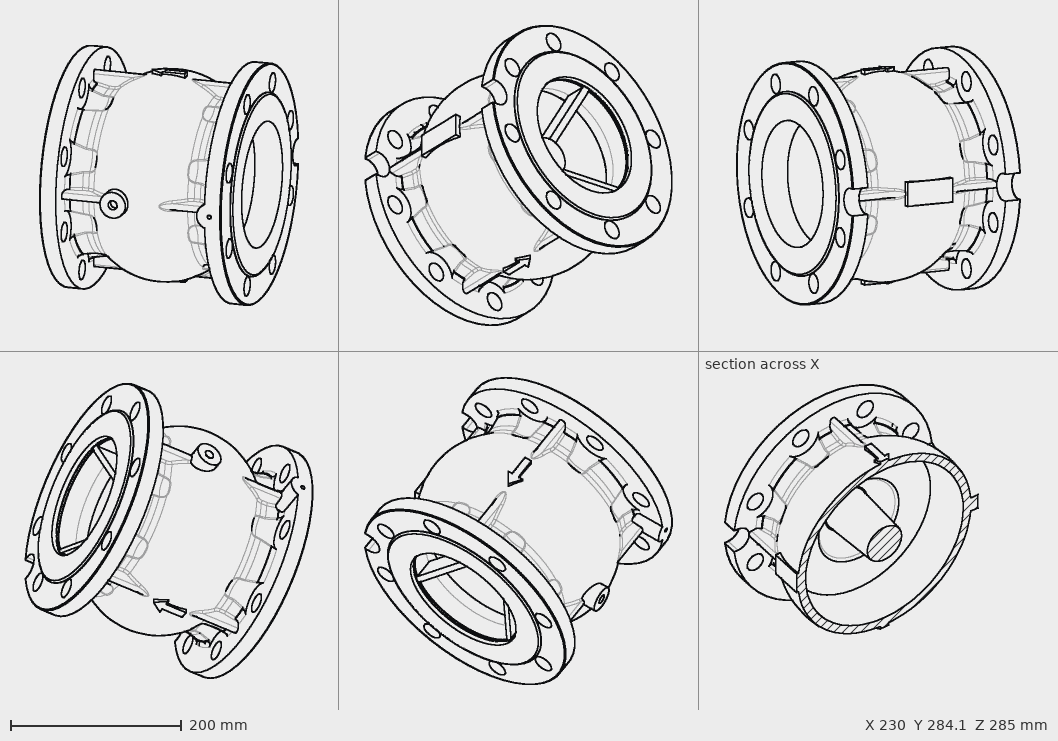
import cadquery as cq
import math

LENGTH = 230.0
HALF_LENGTH = LENGTH / 2
FLANGE_RADIUS = 142.5
FLANGE_THICKNESS = 20.2
FLANGE_EDGE = 1.0
RAISED_FACE_RADIUS = 108.5
RAISED_FACE_HEIGHT = 2.8
RAISED_FACE_CHAMFER = 2.3
FLANGE_OUTER = HALF_LENGTH - RAISED_FACE_HEIGHT
FLANGE_INNER = FLANGE_OUTER - FLANGE_THICKNESS

BULB_RADIUS = 125.0
BULB_CURVE = 91.2
BULB_CURVE_CENTER = BULB_RADIUS - BULB_CURVE
BULB_END = 57.9
BULB_FILLET = 11.7
BULB_END_SLOPE = math.asin(BULB_END / BULB_CURVE)
BULB_END_RADIUS = BULB_CURVE_CENTER + BULB_CURVE * math.cos(BULB_END_SLOPE)
NECK_START = BULB_END + BULB_FILLET * math.sin(BULB_END_SLOPE)
NECK_RADIUS = BULB_END_RADIUS - BULB_FILLET * (1 - math.cos(BULB_END_SLOPE))
NECK_CONE_START = 72.7
NECK_CONE_RISE = 4.3
NECK_END_RADIUS = NECK_RADIUS + NECK_CONE_RISE
FLANGE_FILLET = 4.8

BOLT_COUNT = 8
BOLT_STEP = 360 / BOLT_COUNT
BOLT_CIRCLE = 120.5
BOLT_RADIUS = 11.5
SCALLOP_FLANGE_RADIUS = 25.5
SCALLOP_NECK_RADIUS = 23.7
SCALLOP_NOSE_RADIUS = 14.2
SCALLOP_NOSE_END = 57.0
SCALLOP_OVERRUN = 2.8
SCALLOP_EDGE_FILLET = 2.3

NOTCH_RADIUS = 16.0
NOTCH_BOTTOM = 120.3

RIB_COUNT = 4
RIB_TOP = 120.5
RIB_CREST_RADIUS = 4.0
RIB_DRAFT = math.radians(5)
RIB_FOOT = 85.5
RIB_INNER_END = 17.0
RIB_BASE_FILLET = 2.8

BOSS_RADIUS = 15.7
PLUG_X = -24.2
PLUG_TOP = 134.2
PLUG_FOOT = 114.0
PLUG_HOLE_RADIUS = 5.5
PLUG_HOLE_DEPTH = 8.5
PLUG_DRILL_TIP = 3.0
DRAIN_X = 98.0
DRAIN_FOOT = 97.0
DRAIN_HOLE_RADIUS = 2.3
DRAIN_HOLE_DEPTH = 8.5

ARROW_TOP = 127.7
ARROW_FOOT = 119.7
ARROW_HALF_LENGTH = 20.8
ARROW_HEAD_LENGTH = 14.5
ARROW_HEAD_HALF_WIDTH = 10.3
ARROW_SHAFT_HALF_WIDTH = 4.5
PAD_LENGTH = 59.8
PAD_WIDTH = 28.5
PAD_TOP = 126.0
PAD_FOOT = 114.0

BORE_RADIUS = 74.7
GROOVE_START = 6.3
GROOVE_WIDTH = 3.0
GROOVE_DEPTH = 1.5
BORE_DEPTH = 32.5
WALL = 11.5
CHAMBER_CURVE = BULB_CURVE - WALL
CHAMBER_START = -65.0
CHAMBER_END = 40.0
OUTLET_DEPTH = 34.2

DISH_RADIUS = 57.5
DISH_LIP = 3.5
DISH_DEPTH = 25.6
DISH_FLOOR_RADIUS = 30.5
HUB_FACE = -56.5
HUB_RADIUS = 22.8
HUB_ROOT_RADIUS = 29.0

VANE_COUNT = 3
VANE_WIDTH = 9.7
VANE_AXIAL_DEPTH = 25.6
VANE_START = 8.5
VANE_INNER_RADIUS = 14.2
VANE_OUTER_RADIUS = BORE_RADIUS + 2.8
VANE_ANGLE = 8.0


def revolve_x(profile):
    """Revolve an (x, radius) profile drawn in the XY plane about the X axis."""
    return profile.close().revolve(360, (0, 0, 0), (1, 0, 0))


def turn(shape, angle):
    """Turn a shape about the X axis."""
    return shape.rotate((0, 0, 0), (1, 0, 0), angle)


def turned_copies(shape, count, start=0.0):
    """Evenly spaced copies of a shape around the X axis."""
    return [turn(shape, start + index * 360 / count) for index in range(count)]


def join_all(base, parts):
    """Unite a solid with several parts in one operation."""
    fused = base.val().fuse(*[part.val() for part in parts])
    return base.newObject([fused]).clean()


def cut_all(base, parts):
    """Cut several parts from a solid in one operation."""
    return base.newObject([base.val().cut(*[part.val() for part in parts])])


def mirror_ends(shape):
    """Join a shape with its copy at the opposite end of the body."""
    return shape.union(shape.mirror("YZ"))


def chamber_radius_at(x):
    return BULB_CURVE_CENTER + math.sqrt(CHAMBER_CURVE**2 - x**2)


def make_bulb():
    profile = (
        cq.Workplane("XY")
        .moveTo(-BULB_END, 0)
        .lineTo(-BULB_END, BULB_END_RADIUS)
        .threePointArc((0, BULB_RADIUS), (BULB_END, BULB_END_RADIUS))
        .lineTo(BULB_END, 0)
    )
    return revolve_x(profile)


def make_neck():
    """Neck from the bulb to the +X flange, with the fillet at the bulb."""
    half_slope = BULB_END_SLOPE / 2
    fillet_mid = (
        NECK_START - BULB_FILLET * math.sin(half_slope),
        NECK_RADIUS + BULB_FILLET * (1 - math.cos(half_slope)),
    )
    profile = (
        cq.Workplane("XY")
        .moveTo(BULB_END, 0)
        .lineTo(BULB_END, BULB_END_RADIUS)
        .threePointArc(fillet_mid, (NECK_START, NECK_RADIUS))
        .lineTo(NECK_CONE_START, NECK_RADIUS)
        .lineTo(FLANGE_INNER, NECK_END_RADIUS)
        .lineTo(FLANGE_INNER, 0)
    )
    return revolve_x(profile)


def make_rib():
    """Drafted rib with a round crest, lying along X on the +Z side."""
    crest_center = RIB_TOP - RIB_CREST_RADIUS
    shoulder = crest_center + RIB_CREST_RADIUS * math.sin(RIB_DRAFT)
    shoulder_half_width = RIB_CREST_RADIUS * math.cos(RIB_DRAFT)
    foot_half_width = shoulder_half_width + (shoulder - RIB_FOOT) * math.tan(RIB_DRAFT)
    section = (
        cq.Workplane("YZ", origin=(RIB_INNER_END, 0, 0))
        .moveTo(-foot_half_width, RIB_FOOT)
        .lineTo(foot_half_width, RIB_FOOT)
        .lineTo(shoulder_half_width, shoulder)
        .threePointArc((0, RIB_TOP), (-shoulder_half_width, shoulder))
        .close()
    )
    return section.extrude(FLANGE_INNER - RIB_INNER_END)


def make_scallop():
    """Tapered cutter around the +Z bolt axis, with a rounded nose at the bulb."""
    back = FLANGE_INNER + SCALLOP_OVERRUN
    profile = (
        cq.Workplane("XY")
        .moveTo(back, 0)
        .lineTo(back, SCALLOP_FLANGE_RADIUS)
        .lineTo(NECK_START, SCALLOP_NECK_RADIUS)
        .tangentArcPoint((SCALLOP_NOSE_END, SCALLOP_NOSE_RADIUS), relative=False)
        .lineTo(SCALLOP_NOSE_END, 0)
    )
    return revolve_x(profile).translate((0, 0, BOLT_CIRCLE))


def is_scallop_rim(edge):
    """Tell whether an edge runs along a scallop of the +X neck."""
    center = edge.Center()
    along_neck = BULB_END - BULB_FILLET < center.x < FLANGE_INNER - SCALLOP_EDGE_FILLET
    radius = math.hypot(center.y, center.z)
    angle_from_bolt = math.atan2(center.z, center.y) % math.radians(BOLT_STEP) - math.radians(BOLT_STEP / 2)
    across = radius * math.sin(angle_from_bolt)
    inward = BOLT_CIRCLE - radius * math.cos(angle_from_bolt)
    inside_scallop = math.hypot(across, inward) < SCALLOP_FLANGE_RADIUS + SCALLOP_EDGE_FILLET
    return along_neck and inside_scallop and edge.geomType() != "CIRCLE"


def add_scallops(core):
    """Cut the scallops of the +X neck and round their rims."""
    core = cut_all(core, turned_copies(make_scallop(), BOLT_COUNT, BOLT_STEP / 2))
    return core.edges().filter(is_scallop_rim).fillet(SCALLOP_EDGE_FILLET)


def is_rib_foot(edge):
    """Tell whether an edge runs along the foot of a rib on the +X neck."""
    center = edge.Center()
    along_rib = RIB_INNER_END < center.x < FLANGE_INNER - FLANGE_FILLET
    across = min(abs(center.y), abs(center.z))
    height = max(abs(center.y), abs(center.z))
    beside_rib = across < 2 * RIB_CREST_RADIUS
    return along_rib and beside_rib and RIB_FOOT < height < RIB_TOP - RIB_CREST_RADIUS


def add_ribs(core):
    """Add the ribs of the +X neck and fillet them into bulb and neck."""
    core = join_all(core, turned_copies(make_rib(), RIB_COUNT))
    return core.edges().filter(is_rib_foot).fillet(RIB_BASE_FILLET)


def make_flare():
    """Fillet ring between the +X neck and its flange, open at the scallops."""
    start = FLANGE_INNER - FLANGE_FILLET
    offset = FLANGE_FILLET * math.sqrt(0.5)
    arc_mid = (start + offset, NECK_END_RADIUS + FLANGE_FILLET - offset)
    ring = revolve_x(
        cq.Workplane("XY")
        .moveTo(start, NECK_RADIUS)
        .lineTo(start, NECK_END_RADIUS)
        .threePointArc(arc_mid, (FLANGE_INNER, NECK_END_RADIUS + FLANGE_FILLET))
        .lineTo(FLANGE_INNER, NECK_RADIUS)
    )
    return cut_all(ring, turned_copies(make_scallop(), BOLT_COUNT, BOLT_STEP / 2))


def make_flange():
    disc = (
        cq.Workplane("YZ", origin=(FLANGE_INNER, 0, 0))
        .circle(FLANGE_RADIUS)
        .extrude(FLANGE_THICKNESS)
        .edges(">X")
        .chamfer(FLANGE_EDGE)
    )
    raised_face = (
        cq.Workplane("YZ", origin=(FLANGE_OUTER, 0, 0))
        .circle(RAISED_FACE_RADIUS)
        .extrude(RAISED_FACE_HEIGHT)
        .faces(">X")
        .chamfer(RAISED_FACE_CHAMFER)
    )
    bolt_holes = (
        cq.Workplane("YZ", origin=(FLANGE_INNER, 0, 0))
        .polarArray(BOLT_CIRCLE, BOLT_STEP / 2, 360, BOLT_COUNT)
        .circle(BOLT_RADIUS)
        .extrude(FLANGE_THICKNESS)
    )
    notch_center = NOTCH_BOTTOM + NOTCH_RADIUS
    notch = (
        cq.Workplane("YZ", origin=(FLANGE_INNER, 0, 0))
        .center(notch_center + NOTCH_RADIUS, 0)
        .slot2D(4 * NOTCH_RADIUS, 2 * NOTCH_RADIUS)
        .extrude(FLANGE_THICKNESS)
    )
    return disc.union(raised_face).cut(bolt_holes).cut(notch)


def make_boss(x, foot, top):
    """Round boss on the -Y side between two distances from the X axis."""
    return cq.Workplane("XZ", origin=(x, -foot, 0)).circle(BOSS_RADIUS).extrude(top - foot)


def make_hole(x, top, radius, depth):
    """Cutter for a blind hole sunk from the -Y side."""
    return cq.Workplane("XZ", origin=(x, -top, 0)).circle(radius).extrude(-depth)


def make_arrow():
    """Raised arrow on the +Z side, pointing toward -X."""
    head_base = ARROW_HEAD_LENGTH - ARROW_HALF_LENGTH
    outline = [
        (-ARROW_HALF_LENGTH, 0),
        (head_base, ARROW_HEAD_HALF_WIDTH),
        (head_base, ARROW_SHAFT_HALF_WIDTH),
        (ARROW_HALF_LENGTH, ARROW_SHAFT_HALF_WIDTH),
        (ARROW_HALF_LENGTH, -ARROW_SHAFT_HALF_WIDTH),
        (head_base, -ARROW_SHAFT_HALF_WIDTH),
        (head_base, -ARROW_HEAD_HALF_WIDTH),
    ]
    plane = cq.Workplane("XY", origin=(0, 0, ARROW_FOOT))
    return plane.polyline(outline).close().extrude(ARROW_TOP - ARROW_FOOT)


def make_pad():
    plane = cq.Workplane("XZ", origin=(0, PAD_TOP, 0))
    return plane.rect(PAD_LENGTH, PAD_WIDTH).extrude(PAD_TOP - PAD_FOOT)


def make_cavity():
    """Inlet bore, chamber and dish as one solid of revolution around the hub."""
    inlet = -HALF_LENGTH
    groove_start = inlet + GROOVE_START
    groove_end = groove_start + GROOVE_WIDTH
    groove_radius = BORE_RADIUS + GROOVE_DEPTH
    dish_floor = CHAMBER_END + DISH_DEPTH
    profile = (
        cq.Workplane("XY")
        .moveTo(inlet, 0)
        .lineTo(inlet, BORE_RADIUS)
        .lineTo(groove_start, BORE_RADIUS)
        .lineTo(groove_start, groove_radius)
        .lineTo(groove_end, groove_radius)
        .lineTo(groove_end, BORE_RADIUS)
        .lineTo(inlet + BORE_DEPTH, BORE_RADIUS)
        .lineTo(CHAMBER_START, chamber_radius_at(CHAMBER_START))
        .threePointArc((0, chamber_radius_at(0)), (CHAMBER_END, chamber_radius_at(CHAMBER_END)))
        .lineTo(CHAMBER_END, DISH_RADIUS)
        .lineTo(CHAMBER_END + DISH_LIP, DISH_RADIUS - DISH_LIP)
        .lineTo(dish_floor, DISH_FLOOR_RADIUS)
        .lineTo(dish_floor, HUB_ROOT_RADIUS)
        .lineTo(HUB_FACE, HUB_RADIUS)
        .lineTo(HUB_FACE, 0)
    )
    return revolve_x(profile)


def make_outlet():
    plane = cq.Workplane("YZ", origin=(HALF_LENGTH - OUTLET_DEPTH, 0, 0))
    return plane.circle(BORE_RADIUS).extrude(OUTLET_DEPTH)


def make_vane():
    """Vane on the +Z side whose front runs from the bore wall to the hub rim."""
    wall_x = VANE_START - HALF_LENGTH
    lean = (HUB_FACE - wall_x) / (BORE_RADIUS - HUB_RADIUS)

    def front_x(radius):
        return wall_x + lean * (BORE_RADIUS - radius)

    inner_x = front_x(VANE_INNER_RADIUS)
    outer_x = front_x(VANE_OUTER_RADIUS)
    outline = [
        (inner_x, VANE_INNER_RADIUS),
        (outer_x, VANE_OUTER_RADIUS),
        (outer_x + VANE_AXIAL_DEPTH, VANE_OUTER_RADIUS),
        (inner_x + VANE_AXIAL_DEPTH, VANE_INNER_RADIUS),
    ]
    return cq.Workplane("XZ").polyline(outline).close().extrude(VANE_WIDTH / 2, both=True)


body = make_bulb().union(mirror_ends(make_neck()))
for _ in range(2):
    body = add_ribs(add_scallops(body))
    body = body.rotate((0, 0, 0), (0, 0, 1), 180)

flange = make_flange()
flares = make_flare()
drain_envelope = cq.Workplane("YZ").circle(FLANGE_RADIUS).extrude(FLANGE_INNER)
drain_boss = make_boss(DRAIN_X, DRAIN_FOOT, FLANGE_RADIUS).intersect(drain_envelope)
plug_boss = make_boss(PLUG_X, PLUG_FOOT, PLUG_TOP)
arrow = make_arrow()
additions = [
    flange,
    flange.mirror("YZ"),
    flares,
    flares.mirror("YZ"),
    drain_boss,
    plug_boss,
    arrow,
    turn(arrow, 180),
    make_pad(),
]
body = join_all(body, additions)

drill_tip_base = cq.Vector(PLUG_X, PLUG_HOLE_DEPTH - PLUG_TOP, 0)
drill_tip = cq.Solid.makeCone(PLUG_HOLE_RADIUS, 0, PLUG_DRILL_TIP, drill_tip_base, cq.Vector(0, 1, 0))
openings = [
    make_cavity(),
    make_outlet(),
    make_hole(PLUG_X, PLUG_TOP, PLUG_HOLE_RADIUS, PLUG_HOLE_DEPTH),
    cq.Workplane(drill_tip),
    make_hole(DRAIN_X, FLANGE_RADIUS, DRAIN_HOLE_RADIUS, DRAIN_HOLE_DEPTH),
]
body = cut_all(body, openings)

body = join_all(body, turned_copies(make_vane(), VANE_COUNT, VANE_ANGLE))
result = body.solids()